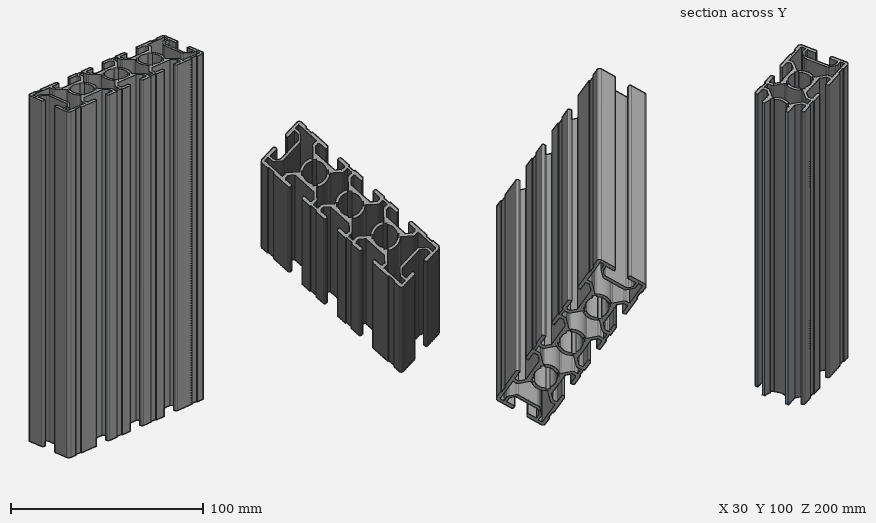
import cadquery as cq
import math

width = 30.0
depth = 100.0
length = 200.0
half_width = width / 2
half_depth = depth / 2
corner_radius = 1.5

pitch = 25.0
core_positions = [-pitch, 0, pitch]
outer_core = pitch
bore_radius = 6.2
ring_radius = 7.8
notch_width = 2.2
notch_reach = 7.0

side_wall = 2.0
end_wall = 1.5
web_wall = 1.8
leg_wall = 1.5
floor_wall = 1.5

spoke_offset = 0.8
bend_radius = 1.5
root_radius = 0.5

mouth_width = 8.2
mouth_edge = mouth_width / 2
undercut_half_width = 9.2
slot_depth = 7.0
side_shoulder = 2.5
end_shoulder = 2.2
end_outer_shoulder = 3.8
side_lip = side_wall
end_lip = 2.0
lip_radius = 1.0
undercut_radius = 0.5
channel_radius = 2.0

web_height = undercut_half_width + web_wall
x_wall = half_width - side_wall
x_bend = web_height - spoke_offset

groove_width = 4.0
groove_depth = 0.5
end_groove = 42.5
groove_positions = [-end_groove, -pitch / 2, pitch / 2, end_groove]


def prism(points):
    return cq.Workplane("XY").polyline(points).close().extrude(length)


def cylinder(radius, y):
    return cq.Workplane("XY").center(0, y).circle(radius).extrude(length)


def bar(size_x, size_y, x=0, y=0):
    return cq.Workplane("XY").center(x, y).rect(size_x, size_y).extrude(length)


def turned(shape, angle):
    return shape.rotate((0, 0, 0), (0, 0, 1), angle)


def mirrored_outline(right_side):
    """Complete an outline listed on its +X side with its mirror image."""
    return right_side + [(-x, y) for x, y in reversed(right_side)]


def undercut(lip, shoulder):
    """Wide inner part of a T-slot whose mouth lies on the plane y = 0."""
    return prism(mirrored_outline([
        (undercut_half_width, -lip),
        (undercut_half_width, shoulder - slot_depth),
        (undercut_half_width - shoulder, -slot_depth),
    ]))


def mouth(lip):
    """Opening between the lips, flared by the rounding of their outer corners."""
    flare = mouth_edge + lip_radius
    opening = bar(2 * flare, 2 * lip_radius).union(bar(mouth_width, 2 * lip))
    for side in (-1, 1):
        rounding = cylinder(lip_radius, -lip_radius).translate((side * flare, 0, 0))
        opening = opening.cut(rounding)
    return opening


def side_slot():
    """T-slot of a long side, opening towards +Y."""
    inner = undercut(side_lip, side_shoulder).edges("|Z and >Y").fillet(undercut_radius)
    return inner.union(mouth(side_lip)).translate((0, half_width, 0))


def end_slot():
    """T-slot of the +Y end, with its inner bends rounded."""
    inner = undercut(end_lip, end_shoulder).edges("|Z").edges("not >Y").fillet(channel_radius)
    return inner.union(mouth(end_lip)).translate((0, half_depth, 0))


def core_bore(y):
    """Round bore with a shallow notch on each of its four diagonals."""
    bore = cylinder(bore_radius, 0)
    for angle in (45, -45):
        bore = bore.union(turned(bar(2 * notch_reach, notch_width), angle))
    return bore.translate((0, y, 0))


def round_upright_edges(cell, x, radius):
    """Round the edges along Z at the distance x to either side of the middle plane."""
    tolerance = 0.0002
    edges = cell.edges("|Z").filter(lambda edge: abs(abs(edge.Center().x) - x) < tolerance)
    return edges.fillet(radius)


def round_spokes(cell):
    """Round both ends of the spokes beside a cell: at the webs and at the core rings."""
    x_ring = (math.sqrt(2 * ring_radius**2 - spoke_offset**2) - spoke_offset) / 2
    cell = round_upright_edges(cell, x_bend, bend_radius)
    return round_upright_edges(cell, x_ring, root_radius)


def middle_cell(y):
    """Closed cell between two neighbouring cores, centred on y."""
    half_height = pitch / 2 - web_height
    apex = pitch / 2 - spoke_offset
    upper = [(-x_wall, half_height), (-x_bend, half_height), (0, apex),
             (x_bend, half_height), (x_wall, half_height)]
    lower = [(-x, -y_point) for x, y_point in upper]
    cell = prism(upper + lower)
    for core in (-pitch / 2, pitch / 2):
        cell = cell.cut(cylinder(ring_radius, core))
    return round_spokes(cell).translate((0, y, 0))


def end_cell():
    """Closed cell between the outermost core and the channel of the +Y end slot."""
    y_top = half_depth - end_wall
    y_web = outer_core + web_height
    y_apex = outer_core + spoke_offset
    cell = prism([(0, y_apex)] + mirrored_outline([(x_bend, y_web), (x_wall, y_web), (x_wall, y_top)]))
    cell = round_spokes(cell.cut(cylinder(ring_radius, outer_core)))

    x_leg = undercut_half_width + leg_wall
    y_floor = half_depth - slot_depth - floor_wall
    channel = prism(mirrored_outline([
        (x_leg, half_depth),
        (x_leg, y_floor + end_outer_shoulder),
        (x_leg - end_outer_shoulder, y_floor),
    ])).edges("|Z").edges("not >Y").fillet(channel_radius)
    return cell.cut(channel)


profile = bar(width, depth).edges("|Z").fillet(corner_radius)

for y in core_positions:
    profile = profile.cut(core_bore(y))
    for angle in (90, -90):
        profile = profile.cut(turned(side_slot(), angle).translate((0, y, 0)))

for angle in (0, 180):
    profile = profile.cut(turned(end_slot(), angle))
    profile = profile.cut(turned(end_cell(), angle))

for y in (-pitch / 2, pitch / 2):
    profile = profile.cut(middle_cell(y))

for y in groove_positions:
    for x in (-half_width, half_width):
        profile = profile.cut(bar(2 * groove_depth, groove_width, x, y))

result = profile